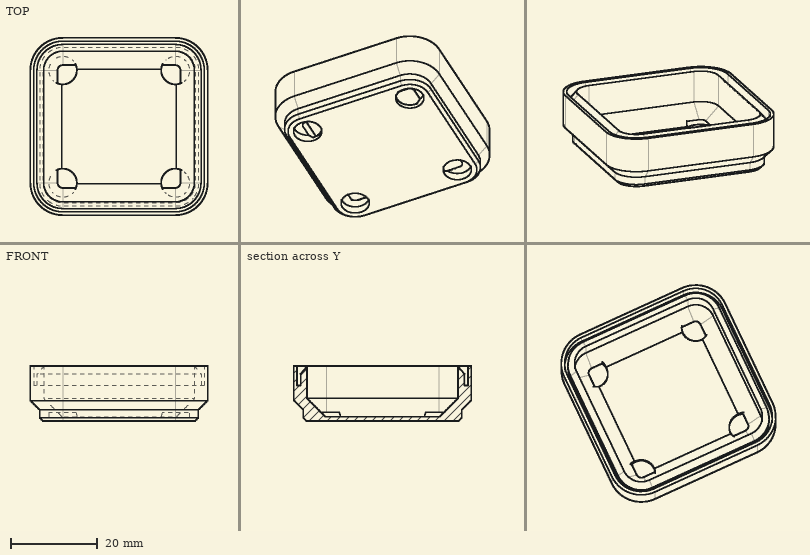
import cadquery as cq

outer_width = 41.0
corner_radius = 7.5
total_height = 12.75

foot_chamfer = 0.8
foot_band = 1.8
shoulder_chamfer = 2.15

rim_wall = 0.8
groove_floor_width = 0.75
ridge_slope_width = 1.55
ridge_slope_height = 1.85
groove_depth = 4.5

floor_thickness = 1.05
floor_slope = 4.2

magnet_diameter = 6.5
magnet_depth = 2.0

groove_floor_inset = rim_wall + groove_floor_width
cavity_inset = groove_floor_inset + ridge_slope_width
floor_inset = cavity_inset + floor_slope
groove_floor_z = total_height - groove_depth
ridge_slope_z = total_height - ridge_slope_height
slope_top_z = floor_thickness + floor_slope
magnet_offset = outer_width / 2 - corner_radius


def outline(inset):
    """Rounded-square outline of the body, moved inward by inset."""
    width = outer_width - 2 * inset
    return cq.Sketch().rect(width, width).vertices().fillet(corner_radius - inset)


def prism(inset, bottom, top):
    """Straight-sided block between two heights."""
    base = cq.Workplane("XY", origin=(0, 0, bottom))
    return base.placeSketch(outline(inset)).extrude(top - bottom)


def taper(bottom_inset, bottom, top_inset, top):
    """Block whose inset changes evenly from bottom to top."""
    base = cq.Workplane("XY", origin=(0, 0, bottom))
    upper = outline(top_inset).moved(cq.Location(cq.Vector(0, 0, top - bottom)))
    return base.placeSketch(outline(bottom_inset), upper).loft(ruled=True)


def make_body():
    band_bottom = foot_chamfer
    band_top = band_bottom + foot_band
    shoulder_top = band_top + shoulder_chamfer
    body = taper(shoulder_chamfer + foot_chamfer, 0, shoulder_chamfer, band_bottom)
    body = body.union(prism(shoulder_chamfer, band_bottom, band_top))
    body = body.union(taper(shoulder_chamfer, band_top, 0, shoulder_top))
    return body.union(prism(0, shoulder_top, total_height))


def make_cavity():
    slope = taper(floor_inset, floor_thickness, cavity_inset, slope_top_z)
    return slope.union(prism(cavity_inset, slope_top_z, total_height))


def make_rim_groove():
    ridge = prism(groove_floor_inset, groove_floor_z, ridge_slope_z)
    ridge = ridge.union(taper(groove_floor_inset, ridge_slope_z, cavity_inset, total_height))
    return prism(rim_wall, groove_floor_z, total_height).cut(ridge)


def make_magnet_holes():
    spacing = 2 * magnet_offset
    holes = cq.Workplane("XY").rect(spacing, spacing, forConstruction=True).vertices()
    return holes.circle(magnet_diameter / 2).extrude(magnet_depth)


result = make_body().cut(make_rim_groove()).cut(make_cavity()).cut(make_magnet_holes())